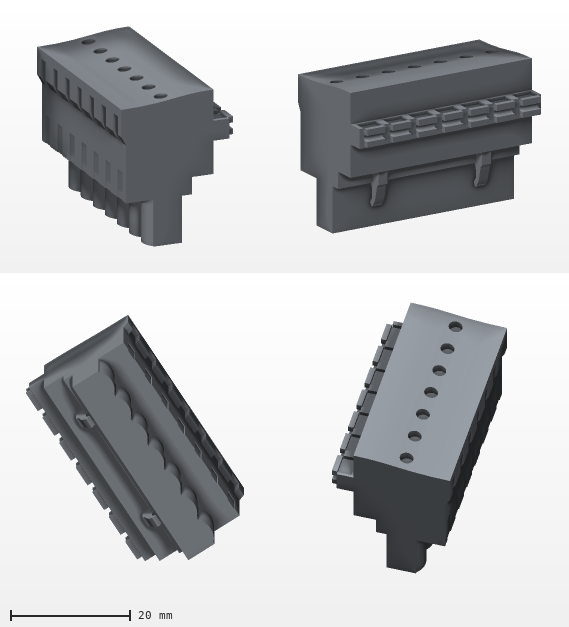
import cadquery as cq
import math


LENGTH = 35.55
HEIGHT = 26.25
DEPTH = 20.62
POLES = 7
PITCH = LENGTH / POLES
POLE_CENTRES = [PITCH * (pole + 0.5) for pole in range(POLES)]

BACK_Y = 16.7
LIP_DEPTH = 0.85
FRONT_TOP_Z = 24.9
LIP_BOTTOM_Z = 20.05
LIP_ROOT_Z = 18.5
BODY_BOTTOM_Z = 8.3
PLUG_FRONT_Y = 5.85
PLUG_BACK_Y = 11.02
STEP_Y = 12.8
OVERHANG_Z = 11.35
TOP_INFLECTION_Y = 9.85

SHELF_BACK_Y = 19.63
SHELF_BOTTOM_Z = 17.2
SHELF_TOP_Z = 20.73

COLUMN_WIDTH = 4.48
COLUMN_BULGE = 0.95

HOLE_DIAMETER = 2.3
HOLE_Y = 8.2
HOLE_FLOOR_Z = 24.07

GROOVE_WIDTH = 2.05
GROOVE_TOP_Z = 23.3
WINDOW_WIDTH = 2.0
WINDOW_TOP_Z = 13.3
WINDOW_DEPTH = 0.15

LEVER_WIDTH = 3.6
LEVER_SIDE_GAP = 0.1
LEVER_OFFSET = -0.15
LEVER_FRONT_Y = 17.2
LEVER_BOTTOM_Z = 17.55
LEVER_PLATE_Y = 19.7
LEVER_STEP = 0.57
TONGUE_BOTTOM_Z = LEVER_BOTTOM_Z + LEVER_STEP
TONGUE_TOP_Z = SHELF_TOP_Z - LEVER_STEP
LEVER_SLOT_Z = 19.1
LEVER_SLOT_HEIGHT = 1.05
LEVER_SLOT_FLOOR_Y = 19.55

LATCH_POLES = (1, POLES - 2)
LATCH_WIDTH = 1.78
LATCH_BACK_Y = 14.65
LATCH_FRONT_Y = 12.7
LATCH_FLARE_Y = 12.1
LATCH_NECK_TOP_Z = 7.08
LATCH_NECK_BOTTOM_Z = 5.6

LATCH_SHOULDER_MIDDLE = (14.3, 7.95)
LATCH_SHOULDER_END = (14.1, 7.4)
LATCH_BEND_START = (13.7, 5.7)
LATCH_BEND_MIDDLE = (13.37, 4.95)
LATCH_BEND_END = (12.87, 4.35)
LATCH_TIP = (12.6, 4.02)
LATCH_TIP_END = (12.37, 4.15)
LATCH_HOOK = (12.02, 4.7)
LATCH_FLARE_MIDDLE = (12.48, 7.7)

LEVER_CENTRES = [centre + LEVER_OFFSET for centre in POLE_CENTRES]


def block(x_centre, width, y_range, z_range):
    """Box centred on x_centre, spanning the given Y and Z ranges."""
    y_min, y_max = y_range
    z_min, z_max = z_range
    return (
        cq.Workplane("XY")
        .box(width, y_max - y_min, z_max - z_min, centered=(True, False, False))
        .translate((x_centre, y_min, z_min))
    )


def arc_middle(level_end, other_end):
    """Middle point of the arc that leaves level_end along Y and reaches other_end."""
    run = other_end[0] - level_end[0]
    rise = other_end[1] - level_end[1]
    radius = (run**2 + rise**2) / (2 * abs(rise))
    half_angle = math.asin(abs(run) / radius) / 2
    return (
        level_end[0] + math.copysign(radius * math.sin(half_angle), run),
        level_end[1] + math.copysign(radius * (1 - math.cos(half_angle)), rise),
    )


def housing_shell():
    """Side profile with an S-curved top, extruded along the row."""
    back_top = (BACK_Y, HEIGHT)
    front_top = (0, FRONT_TOP_Z)
    inflection_z = FRONT_TOP_Z + (HEIGHT - FRONT_TOP_Z) * TOP_INFLECTION_Y / BACK_Y
    inflection = (TOP_INFLECTION_Y, inflection_z)
    return (
        cq.Workplane("YZ")
        .moveTo(*back_top)
        .threePointArc(arc_middle(back_top, inflection), inflection)
        .threePointArc(arc_middle(front_top, inflection), front_top)
        .lineTo(0, LIP_BOTTOM_Z)
        .lineTo(LIP_DEPTH, LIP_ROOT_Z)
        .lineTo(LIP_DEPTH, BODY_BOTTOM_Z)
        .lineTo(PLUG_FRONT_Y, BODY_BOTTOM_Z)
        .lineTo(PLUG_FRONT_Y, 0)
        .lineTo(PLUG_BACK_Y, 0)
        .lineTo(PLUG_BACK_Y, BODY_BOTTOM_Z)
        .lineTo(STEP_Y, BODY_BOTTOM_Z)
        .lineTo(STEP_Y, OVERHANG_Z)
        .lineTo(BACK_Y, OVERHANG_Z)
        .lineTo(BACK_Y, SHELF_BOTTOM_Z)
        .lineTo(SHELF_BACK_Y, SHELF_BOTTOM_Z)
        .lineTo(SHELF_BACK_Y, SHELF_TOP_Z)
        .lineTo(BACK_Y, SHELF_TOP_Z)
        .close()
        .extrude(LENGTH)
    )


def plug_column(x_centre):
    """Bulge on the front of the plug, an arc in plan."""
    half = COLUMN_WIDTH / 2
    return (
        cq.Workplane("XY")
        .moveTo(x_centre - half, PLUG_FRONT_Y)
        .threePointArc((x_centre, PLUG_FRONT_Y - COLUMN_BULGE), (x_centre + half, PLUG_FRONT_Y))
        .close()
        .extrude(BODY_BOTTOM_Z)
    )


def latch_arm(x_centre):
    """Arm that hangs from the overhang and hooks forward at its tip."""
    return (
        cq.Workplane("YZ", origin=(x_centre - LATCH_WIDTH / 2, 0, 0))
        .moveTo(STEP_Y, OVERHANG_Z)
        .lineTo(LATCH_BACK_Y, OVERHANG_Z)
        .lineTo(LATCH_BACK_Y, BODY_BOTTOM_Z)
        .threePointArc(LATCH_SHOULDER_MIDDLE, LATCH_SHOULDER_END)
        .lineTo(*LATCH_BEND_START)
        .threePointArc(LATCH_BEND_MIDDLE, LATCH_BEND_END)
        .threePointArc(LATCH_TIP, LATCH_TIP_END)
        .lineTo(*LATCH_HOOK)
        .lineTo(LATCH_FRONT_Y, LATCH_NECK_BOTTOM_Z)
        .lineTo(LATCH_FRONT_Y, LATCH_NECK_TOP_Z)
        .threePointArc(LATCH_FLARE_MIDDLE, (LATCH_FLARE_Y, BODY_BOTTOM_Z))
        .lineTo(STEP_Y, BODY_BOTTOM_Z)
        .close()
        .extrude(LATCH_WIDTH)
    )


def build_housing():
    body = housing_shell()
    for centre in POLE_CENTRES:
        body = body.union(plug_column(centre))
    for pole in LATCH_POLES:
        body = body.union(latch_arm(POLE_CENTRES[pole]))
    for centre in POLE_CENTRES:
        hole = (
            cq.Workplane("XY", origin=(centre, HOLE_Y, HOLE_FLOOR_Z))
            .circle(HOLE_DIAMETER / 2)
            .extrude(HEIGHT - HOLE_FLOOR_Z)
        )
        groove = block(centre, GROOVE_WIDTH, (0, LIP_DEPTH), (LIP_ROOT_Z, GROOVE_TOP_Z))
        window = block(
            centre, WINDOW_WIDTH, (LIP_DEPTH, LIP_DEPTH + WINDOW_DEPTH), (BODY_BOTTOM_Z, WINDOW_TOP_Z)
        )
        body = body.cut(hole).cut(groove).cut(window)
    for centre in LEVER_CENTRES:
        pocket_width = LEVER_WIDTH + 2 * LEVER_SIDE_GAP
        pocket = block(
            centre, pocket_width, (LEVER_FRONT_Y, SHELF_BACK_Y), (TONGUE_BOTTOM_Z, SHELF_TOP_Z)
        )
        body = body.cut(pocket)
    return body


def build_lever(x_centre):
    """Push lever: a low tongue in the pocket and a taller end plate with a round-bottomed slot."""
    slot_radius = LEVER_SLOT_HEIGHT / 2
    slot_centre_y = LEVER_SLOT_FLOOR_Y + slot_radius
    tongue = block(
        x_centre, LEVER_WIDTH, (LEVER_FRONT_Y, LEVER_PLATE_Y), (TONGUE_BOTTOM_Z, TONGUE_TOP_Z)
    )
    plate = block(x_centre, LEVER_WIDTH, (LEVER_PLATE_Y, DEPTH), (LEVER_BOTTOM_Z, SHELF_TOP_Z))
    slot = block(
        x_centre,
        LEVER_WIDTH,
        (slot_centre_y, DEPTH),
        (LEVER_SLOT_Z - slot_radius, LEVER_SLOT_Z + slot_radius),
    )
    slot_floor = (
        cq.Workplane("YZ", origin=(x_centre - LEVER_WIDTH / 2, slot_centre_y, LEVER_SLOT_Z))
        .circle(slot_radius)
        .extrude(LEVER_WIDTH)
    )
    return tongue.union(plate).cut(slot).cut(slot_floor)


housing = build_housing()
levers = [build_lever(centre) for centre in LEVER_CENTRES]

result = cq.Compound.makeCompound([housing.val(), *[lever.val() for lever in levers]])